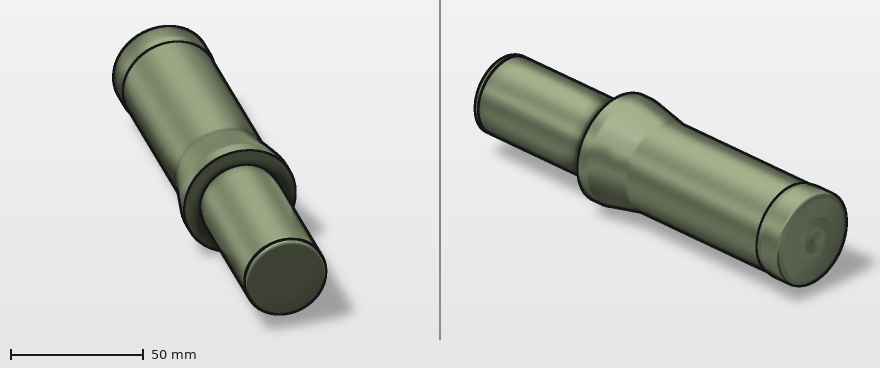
import cadquery as cq
import math

TOTAL_LENGTH = 163.0
TIP_X = 0.0
HEAD_TAPER_X = 10.0
HEAD_LENGTH = 12.9
CONE_START_X = 80.7
CONE_END_X = 98.0
COLLAR_END_X = 103.0

HEAD_R = 38.0 / 2
BODY_R = 37.0 / 2
COLLAR_R = 44.0 / 2
SHANK_R = 32.0 / 2
GROOVE_R = 31.5 / 2

CORNER_RADIUS = 1.0
CORNER_X = 1.0
FACE_BREAK_R = 16.6
FACE_BREAK_X = 0.7
RING_OUTER_R = 9.3
RING_OUTER_X = 0.5
RING_INNER_R = 5.4
DIMPLE_R = 0.25
DIMPLE_DEPTH = 0.8

CONE_BLEND_RADIUS = 4.9
RELIEF_WIDTH = 1.6
END_GROOVE_X = 159.3
END_GROOVE_WIDTH = 1.3
GROOVE_RAMP = 0.8
END_RADIUS = 1.1


def revolve_about_x(profile):
    """Close an (x, radius) profile and turn it into a solid around the X axis."""
    return profile.close().revolve(360, (0, 0, 0), (1, 0, 0))


def make_cutting_head():
    """Short head with a rounded corner, a dimpled face and a tapered back."""
    arc_center_x = CORNER_X + CORNER_RADIUS
    arc_center_r = HEAD_R - CORNER_RADIUS
    arc_offset = CORNER_RADIUS * math.sqrt(0.5)
    profile = (
        cq.Workplane("XY")
        .moveTo(DIMPLE_DEPTH, 0)
        .lineTo(DIMPLE_DEPTH, DIMPLE_R)
        .lineTo(TIP_X, RING_INNER_R)
        .lineTo(RING_OUTER_X, RING_OUTER_R)
        .lineTo(FACE_BREAK_X, FACE_BREAK_R)
        .lineTo(CORNER_X, arc_center_r)
        .threePointArc(
            (arc_center_x - arc_offset, arc_center_r + arc_offset),
            (arc_center_x, HEAD_R),
        )
        .lineTo(HEAD_TAPER_X, HEAD_R)
        .lineTo(HEAD_LENGTH, BODY_R)
        .lineTo(HEAD_LENGTH, 0)
    )
    return revolve_about_x(profile)


def cut_shank_groove(holder, wall_x, shank_x):
    """Cut a shallow ring groove, square at wall_x and ramped up to the shank at shank_x."""
    ramp = math.copysign(GROOVE_RAMP, shank_x - wall_x)
    profile = (
        cq.Workplane("XY")
        .moveTo(wall_x, GROOVE_R)
        .lineTo(shank_x - ramp, GROOVE_R)
        .lineTo(shank_x, SHANK_R)
        .lineTo(wall_x, SHANK_R)
    )
    return holder.cut(revolve_about_x(profile))


def make_holder():
    """Body with a conical collar and a reduced shank, behind the cutting head."""
    profile = (
        cq.Workplane("XY")
        .moveTo(HEAD_LENGTH, 0)
        .lineTo(HEAD_LENGTH, BODY_R)
        .lineTo(CONE_START_X, BODY_R)
        .lineTo(CONE_END_X, COLLAR_R)
        .lineTo(COLLAR_END_X, COLLAR_R)
        .lineTo(COLLAR_END_X, SHANK_R)
        .lineTo(TOTAL_LENGTH, SHANK_R)
        .lineTo(TOTAL_LENGTH, 0)
    )
    holder = revolve_about_x(profile)

    cone_start = cq.selectors.NearestToPointSelector((CONE_START_X, 0, 0))
    cone_end = cq.selectors.NearestToPointSelector((CONE_END_X, 0, 0))
    holder = holder.edges(cone_start).fillet(CONE_BLEND_RADIUS)
    holder = holder.edges(cone_end).fillet(CONE_BLEND_RADIUS)
    holder = holder.faces(">X").edges().fillet(END_RADIUS)

    holder = cut_shank_groove(holder, COLLAR_END_X, COLLAR_END_X + RELIEF_WIDTH)
    return cut_shank_groove(holder, END_GROOVE_X + END_GROOVE_WIDTH, END_GROOVE_X)


cutting_head = make_cutting_head()
holder = make_holder()

result = cq.Compound.makeCompound([cutting_head.val(), holder.val()])